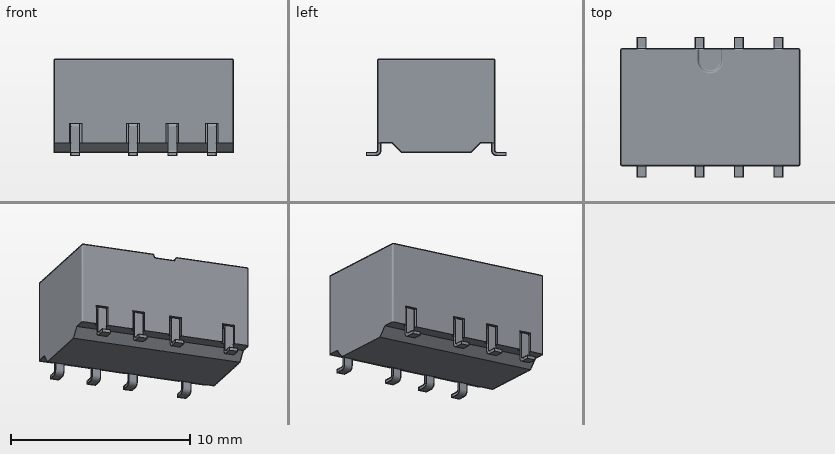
import cadquery as cq

body_length = 10.0
body_width = 6.54
body_top = 5.38
body_bottom = 0.18
ledge_height = 0.7
foot_width = 3.9
ledge_width = 0.81
edge_radius = 0.1

notch_width = 1.3
notch_straight = 0.66
notch_edge_radius = edge_radius
notch_depth = 2 * notch_edge_radius

overall_width = 7.8
lead_positions = (-3.83, -0.6, 1.6, 3.8)
lead_width = 0.5
lead_thickness = 0.18
lead_bend_radius = 0.1
slot_positions = (-3.78, -0.6, 1.6, 3.8)
slot_width = 0.7
slot_depth = 0.21
slot_top = 1.79
shoulder_radius = slot_depth
lead_embed = 0.1

half_width = body_width / 2


def make_body():
    """Extrude the end profile along X, then cut the notch and round the edges."""
    half_foot = foot_width / 2
    ledge_start = half_width - ledge_width
    profile = [
        (-half_width, body_top),
        (-half_width, ledge_height),
        (-ledge_start, ledge_height),
        (-half_foot, body_bottom),
        (half_foot, body_bottom),
        (ledge_start, ledge_height),
        (half_width, ledge_height),
        (half_width, body_top),
    ]
    block = cq.Workplane("YZ").polyline(profile).close().extrude(body_length / 2, both=True)
    block = block.edges("|Z").fillet(edge_radius)
    block = block.cut(make_notch())
    return block.faces(">Z").edges().fillet(edge_radius)


def notch_half_section():
    """Return half the notch section: flat floor, then an S-shaped flank up to the rim."""
    middle = notch_width / 2
    floor = body_top - notch_depth
    rim = middle + notch_edge_radius
    cutter_top = body_top + notch_depth
    return (
        cq.Workplane("XZ")
        .moveTo(0, floor)
        .lineTo(middle - notch_edge_radius, floor)
        .radiusArc((middle, floor + notch_edge_radius), -notch_edge_radius)
        .radiusArc((rim, body_top), notch_edge_radius)
        .lineTo(rim, cutter_top)
        .lineTo(0, cutter_top)
        .close()
    )


def make_notch():
    """Return the notch cutter: a round dish with a straight run out through the rear side."""
    dish = notch_half_section().revolve(360, (0, 0), (0, 1))
    half_run = notch_half_section().extrude(-2 * notch_straight)
    cutter = dish.union(half_run).union(half_run.mirror("YZ"))
    return cutter.translate((0, half_width - notch_straight, 0))


def make_slot(x):
    """Return the cutter for one front lead slot, open at the ledge."""
    cutter = cq.Workplane("XY").box(slot_width, slot_depth, slot_top, centered=(True, False, False))
    return cutter.translate((x, -half_width, 0))


def make_lead(x):
    """Return one front lead: foot, bend, upright and a rounded shoulder running into the body."""
    tip = -overall_width / 2
    outer = -half_width
    inner = outer + lead_thickness
    root = outer + slot_depth + lead_embed
    foot_end = outer - lead_bend_radius
    bend_top = lead_thickness + lead_bend_radius
    lead_underside = slot_top - lead_thickness
    return (
        cq.Workplane("YZ", origin=(x, 0, 0))
        .moveTo(tip, 0)
        .lineTo(foot_end, 0)
        .radiusArc((inner, bend_top), -(lead_bend_radius + lead_thickness))
        .lineTo(inner, lead_underside)
        .lineTo(root, lead_underside)
        .lineTo(root, slot_top)
        .lineTo(outer + shoulder_radius, slot_top)
        .radiusArc((outer, slot_top - shoulder_radius), -shoulder_radius)
        .lineTo(outer, bend_top)
        .radiusArc((foot_end, lead_thickness), lead_bend_radius)
        .lineTo(tip, lead_thickness)
        .close()
        .extrude(lead_width / 2, both=True)
    )


result = make_body()
for slot_x, lead_x in zip(slot_positions, lead_positions):
    slot = make_slot(slot_x)
    lead = make_lead(lead_x)
    result = result.cut(slot).cut(slot.mirror("XZ"))
    result = result.union(lead).union(lead.mirror("XZ"))